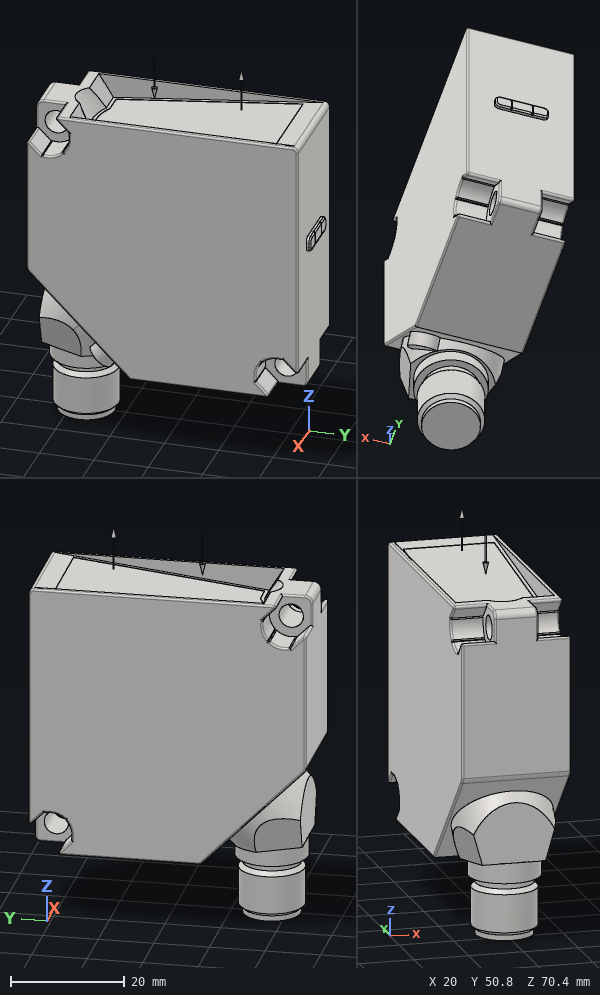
import cadquery as cq
import math

WIDTH = 20.0
DEPTH = 50.0
HEIGHT = 49.75
CORNER_CUT = 19.0
FRONT_RADIUS = 1.4
BACK_RADIUS = 1.0
EDGE_RADIUS = 0.35
TOLERANCE = 0.01

HOLE_DIAMETER = 4.4
HOLE_INSET = 3.9
WEB_THICKNESS = 7.95
HEAD_RADIUS = 3.95
NUT_ACROSS_FLATS = 7.05
MOUNTINGS = [
    (HOLE_INSET, HEIGHT - HOLE_INSET, 135),
    (DEPTH - HOLE_INSET, HOLE_INSET, -45),
]
MOUTH_LENGTH = 8.45

RIM = 1.0
POCKET_FRONT = 7.75
FLOOR_FRONT = 10.4
FLOOR_FRONT_DEPTH = 4.3
FLOOR_BACK = DEPTH - RIM
FLOOR_SLOPE = FLOOR_FRONT_DEPTH / (FLOOR_BACK - FLOOR_FRONT)
WINDOW_BORDER = 0.7
WINDOW_BACK_BORDER = 3.5
WINDOW_STEP = 0.1
SCOOP_TOP_Y = 6.2
SCOOP_TOP_RADIUS = 3.9
SCOOP_FLOOR_Y = 9.2
SCOOP_FLOOR_RADIUS = 9.15

STRIP_LENGTH = 9.9
STRIP_HEIGHT = 2.8
STRIP_THICKNESS = 0.8
STRIP_CENTRE_Z = 28.4
STRIP_CORNER_RADIUS = 1.0
STRIP_CHAMFER = 0.3
BUTTON_LENGTH = 3.65
GROOVE_WIDTH = 0.2
GROOVE_DEPTH = 0.4

ELBOW_RADIUS = 9.15
ELBOW_Y = 9.7
ELBOW_LENGTH = 11.3
ELBOW_ROOT = 1.4
ELBOW_FRONT = 1.55
FLAT_HALF_WIDTH = 9.95
FLAT_TAPER = 22.0
UNDERSIDE_TILT = 5.3
LUG_X = 6.7
LUG_DROP = 6.85
LUG_RADIUS = 2.75
LUG_LENGTH = 2.5

COLLAR_DIAMETER = 13.2
NECK_DIAMETER = 10.4
SLEEVE_DIAMETER = 12.0
PLUG_Y = ELBOW_FRONT + COLLAR_DIAMETER / 2
COLLAR_FRONT_Z = 3.0
COLLAR_BOTTOM = -0.7
NECK_BOTTOM = -2.05
SLEEVE_TOP = -2.9
SLEEVE_BOTTOM = -9.9
TIP_TOP = -10.5
TIP_BOTTOM = -11.55

ARROW_LENGTH = 8.0
ARROW_GAP = 1.1
SHAFT_DIAMETER = 0.2
HEAD_DIAMETER = 1.0
HEAD_LENGTH = 2.1
UP_ARROW_Y = 36.65
DOWN_ARROW_Y = 20.65


def side_prism(points, width):
    """Extrude a (Y, Z) outline symmetrically about X = 0."""
    return cq.Workplane("YZ").polyline(points).close().extrude(width / 2, both=True)


def make_block():
    outline = [(0, CORNER_CUT), (CORNER_CUT, 0), (DEPTH, 0), (DEPTH, HEIGHT), (0, HEIGHT)]
    block = side_prism(outline, WIDTH)
    block = block.faces(">Y").edges("|X").fillet(BACK_RADIUS)
    block = block.faces("<Y").edges("|X").fillet(FRONT_RADIUS)
    for y, z, mouth_angle in MOUNTINGS:
        block = block.cut(make_mounting_cutter(y, z, mouth_angle))
    return round_edges(block)


def round_edges(block):
    """Round the outlines of both side faces and the edges where the recesses break the skin."""
    recess_depth = (WIDTH - WEB_THICKNESS) / 2
    edges = block.faces("<X or >X").edges().vals()
    for skin in (">Z", "<Y", "<Z", ">Y"):
        lengthwise = block.faces(skin).edges("|X").vals()
        edges += [edge for edge in lengthwise if abs(edge.Length() - recess_depth) < TOLERANCE]
    for side in (-1, 1):
        for y, z, mouth_angle in MOUNTINGS:
            web_face = block.faces(cq.NearestToPointSelector((side * WEB_THICKNESS / 2, y, z)))
            edges += [edge for edge in web_face.edges().vals() if is_in_mouth(edge, y, z, mouth_angle)]
    return block.newObject(edges).fillet(EDGE_RADIUS)


def is_in_mouth(edge, y, z, mouth_angle):
    """True for an edge that lies beyond the hole, on the side where the recess opens."""
    centre = edge.Center()
    angle = math.radians(mouth_angle)
    reach = (centre.y - y) * math.cos(angle) + (centre.z - z) * math.sin(angle)
    return reach > HOLE_DIAMETER / 2


def make_recess(side):
    """Cutter for the recess on one side of the web (side is -1 or +1), its mouth towards +Y."""
    depth = side * (WIDTH - WEB_THICKNESS) / 2
    plane = cq.Workplane("YZ", origin=(side * WEB_THICKNESS / 2, 0, 0))
    nut_diameter = NUT_ACROSS_FLATS / math.cos(math.pi / 6)
    head = plane.circle(HEAD_RADIUS).extrude(depth)
    flats = plane.rect(3 * HEAD_RADIUS, NUT_ACROSS_FLATS).extrude(depth)
    nut = plane.polygon(6, nut_diameter).extrude(depth)
    mouth = plane.center(MOUTH_LENGTH / 2, 0).rect(MOUTH_LENGTH, NUT_ACROSS_FLATS).extrude(depth)
    return head.intersect(flats).union(nut).union(mouth)


def make_mounting_cutter(y, z, mouth_angle):
    """Hole and both recesses; the mouth opens at mouth_angle from +Y towards +Z."""
    hole = cq.Workplane("YZ").circle(HOLE_DIAMETER / 2).extrude(WIDTH / 2, both=True)
    cutter = hole.union(make_recess(-1)).union(make_recess(1))
    return cutter.rotate((0, 0, 0), (1, 0, 0), mouth_angle).translate((0, y, z))


def floor_z(y):
    """Height of the sloping pocket floor at a given Y."""
    return HEIGHT - FLOOR_SLOPE * (FLOOR_BACK - y)


def make_scoop():
    """Conical thumb scoop in the front wall of the pocket, ending at the plane of the floor."""
    floor_level = floor_z(SCOOP_FLOOR_Y)
    cone = (
        cq.Workplane("XY", origin=(0, SCOOP_FLOOR_Y + SCOOP_FLOOR_RADIUS, floor_level))
        .circle(SCOOP_FLOOR_RADIUS)
        .workplane(offset=HEIGHT - floor_level)
        .center(0, SCOOP_TOP_Y + SCOOP_TOP_RADIUS - SCOOP_FLOOR_Y - SCOOP_FLOOR_RADIUS)
        .circle(SCOOP_TOP_RADIUS)
        .loft()
    )
    above_floor = side_prism([(0, floor_z(0)), (FLOOR_BACK, HEIGHT), (0, HEIGHT)], WIDTH - 2 * RIM)
    return cone.intersect(above_floor)


def make_window():
    """Shallow step in the pocket floor, with its front edge bowed around the scoop."""
    front = FLOOR_FRONT + WINDOW_BORDER
    back = FLOOR_BACK - WINDOW_BACK_BORDER
    width = WIDTH - 2 * (RIM + WINDOW_BORDER)
    bow_radius = SCOOP_FLOOR_RADIUS
    bow_y = SCOOP_FLOOR_Y + WINDOW_BORDER + bow_radius
    step = side_prism(
        [
            (0, floor_z(0) - WINDOW_STEP),
            (back, floor_z(back) - WINDOW_STEP),
            (back, floor_z(back)),
            (0, floor_z(0)),
        ],
        width,
    )
    low = floor_z(0) - WINDOW_STEP
    outline = cq.Workplane("XY", origin=(0, (front + back) / 2, low))
    outline = outline.rect(width, back - front).extrude(HEIGHT - low)
    bow = cq.Workplane("XY", origin=(0, bow_y, low)).circle(bow_radius).extrude(HEIGHT - low)
    return outline.union(bow).intersect(step)


def make_pocket():
    outline = [(POCKET_FRONT, HEIGHT), (FLOOR_FRONT, floor_z(FLOOR_FRONT)), (FLOOR_BACK, HEIGHT)]
    return side_prism(outline, WIDTH - 2 * RIM)


def make_button_strip():
    plane = cq.Workplane("XZ", origin=(0, DEPTH, STRIP_CENTRE_Z))
    strip = plane.rect(STRIP_LENGTH, STRIP_HEIGHT).extrude(-STRIP_THICKNESS)
    strip = strip.edges("|Y").fillet(STRIP_CORNER_RADIUS)
    strip = strip.faces(">Y").edges().chamfer(STRIP_CHAMFER)
    groove_x = (BUTTON_LENGTH + GROOVE_WIDTH) / 2
    grooves = (
        cq.Workplane("XZ", origin=(0, DEPTH + STRIP_THICKNESS, STRIP_CENTRE_Z))
        .pushPoints([(-groove_x, 0), (groove_x, 0)])
        .rect(GROOVE_WIDTH, STRIP_HEIGHT)
        .extrude(GROOVE_DEPTH)
    )
    return strip.cut(grooves)


def make_elbow(below):
    """Stub square to the 45 degree face, with a front flat, two tapered side flats and a lug."""
    plane = cq.Plane(origin=(0, ELBOW_Y, CORNER_CUT - ELBOW_Y), xDir=(1, 0, 0), normal=(0, -1, -1))
    root = cq.Workplane(plane).workplane(offset=-ELBOW_ROOT)
    stub = root.circle(ELBOW_RADIUS).extrude(ELBOW_ROOT + ELBOW_LENGTH)

    taper = math.tan(math.radians(FLAT_TAPER))
    root_half = FLAT_HALF_WIDTH + ELBOW_ROOT * taper
    end_half = FLAT_HALF_WIDTH - ELBOW_LENGTH * taper
    side_plane = cq.Plane(origin=plane.origin, xDir=(1, 0, 0), normal=plane.yDir)
    flats = (
        cq.Workplane(side_plane)
        .polyline([
            (-root_half, ELBOW_ROOT),
            (root_half, ELBOW_ROOT),
            (end_half, -ELBOW_LENGTH),
            (-end_half, -ELBOW_LENGTH),
        ])
        .close()
        .extrude(2 * ELBOW_RADIUS, both=True)
    )
    behind_front = side_prism(
        [(ELBOW_FRONT, -HEIGHT), (DEPTH, -HEIGHT), (DEPTH, HEIGHT), (ELBOW_FRONT, HEIGHT)], WIDTH
    )
    lug = root.center(LUG_X, -LUG_DROP).circle(LUG_RADIUS).extrude(ELBOW_ROOT + LUG_LENGTH)
    return stub.intersect(flats).intersect(behind_front).cut(below).union(lug)


def make_plug(below):
    collar_top = 2 * COLLAR_FRONT_Z
    profile = [
        (0, TIP_BOTTOM),
        (NECK_DIAMETER / 2, TIP_BOTTOM),
        (NECK_DIAMETER / 2, TIP_TOP),
        (SLEEVE_DIAMETER / 2, SLEEVE_BOTTOM),
        (SLEEVE_DIAMETER / 2, SLEEVE_TOP),
        (NECK_DIAMETER / 2, NECK_BOTTOM),
        (NECK_DIAMETER / 2, COLLAR_BOTTOM),
        (COLLAR_DIAMETER / 2, COLLAR_BOTTOM),
        (COLLAR_DIAMETER / 2, collar_top),
        (0, collar_top),
    ]
    plug = cq.Workplane("XZ").polyline(profile).close().revolve(360, (0, 0), (0, 1))
    return plug.translate((0, PLUG_Y, 0)).intersect(below)


def make_connector():
    """Elbow and plug, meeting at a slightly tilted plane."""
    back = 2 * PLUG_Y
    slope = math.tan(math.radians(UNDERSIDE_TILT))
    below = side_prism(
        [
            (0, 2 * TIP_BOTTOM),
            (0, COLLAR_FRONT_Z + ELBOW_FRONT * slope),
            (back, COLLAR_FRONT_Z - (back - ELBOW_FRONT) * slope),
            (back, 2 * TIP_BOTTOM),
        ],
        2 * WIDTH,
    )
    return make_elbow(below).union(make_plug(below))


def make_housing():
    housing = make_block().cut(make_pocket()).cut(make_scoop()).cut(make_window())
    return housing.union(make_button_strip()).union(make_connector())


def make_arrow(y, points_up):
    """Thin shaft with a cone-shaped head at its upper or lower end."""
    profile = [
        (0, 0),
        (SHAFT_DIAMETER / 2, 0),
        (SHAFT_DIAMETER / 2, ARROW_LENGTH - HEAD_LENGTH),
        (HEAD_DIAMETER / 2, ARROW_LENGTH - HEAD_LENGTH),
        (0, ARROW_LENGTH),
    ]
    arrow = cq.Workplane("XZ").polyline(profile).close().revolve(360, (0, 0), (0, 1))
    if not points_up:
        middle = ARROW_LENGTH / 2
        arrow = arrow.rotate((0, 0, middle), (1, 0, middle), 180)
    return arrow.translate((0, y, HEIGHT + ARROW_GAP))


housing = make_housing()
arrows = []
for arrow_y, points_up in ((UP_ARROW_Y, True), (DOWN_ARROW_Y, False)):
    arrows.append(make_arrow(arrow_y, points_up).val())

result = cq.Compound.makeCompound([housing.val(), *arrows])